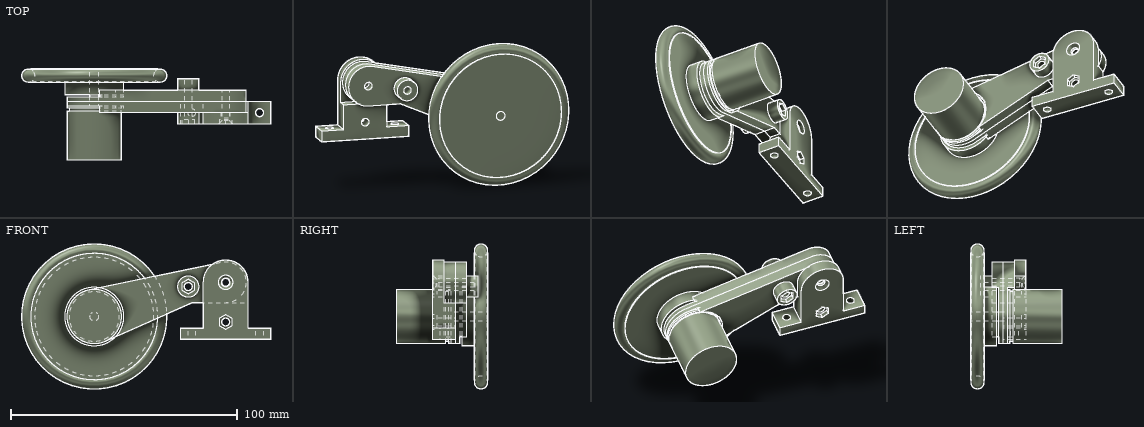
import cadquery as cq
import math


TYRE_DIA = 64.3
TYRE_SECTION_DIA = 5.8
WHEEL_DIA = 56.0
WHEEL_WIDTH = 6.2
WHEEL_BACK_Y = 14.4
HUB_DIA = 26.0
HUB_FRONT_Y = 2.9

MOTOR_DIA = 24.0
MOTOR_LENGTH = 24.0
MOTOR_FLANGE = 1.0
GROOVE_DIA = 22.0
GROOVE_WIDTH = 1.3
SHAFT_DIA = 4.0

ARM_HALF_THICKNESS = 5.0
ARM_WEB = 2.0
PIVOT_X = 58.1
PIVOT_Z = 15.1
ARM_END_RADIUS = 9.0
HEEL_X = 43.3
SPACER_X = 41.6
SPACER_Z = 13.2
SPACER_DIA = 9.4
SPACER_LENGTH = 5.1

TAB_RADIUS = 9.9
TAB_THICKNESS = 5.1
BASE_LENGTH = 40.0
BASE_HEIGHT = 5.0
BASE_DROP = 25.2
LOCK_HOLE_DROP = 17.5
BASE_HOLE_SPACING = 30.0

SCREW_HOLE_DIA = 3.4
NUT_FLATS = 5.6
NUT_DEPTH = 2.0
COUNTERSINK_DIA = 6.4
PIVOT_RELIEF_DIA = 4.0
PIVOT_RELIEF_DEPTH = 2.3
COUNTERSINK_ANGLE = 90

TYRE_SECTION_RADIUS = TYRE_SECTION_DIA / 2
TYRE_RING_RADIUS = TYRE_DIA / 2 - TYRE_SECTION_RADIUS
WHEEL_MID_Y = WHEEL_BACK_Y - WHEEL_WIDTH / 2
WHEEL_FRONT_Y = WHEEL_BACK_Y - WHEEL_WIDTH
MOTOR_RADIUS = MOTOR_DIA / 2
BRACKET_FRONT_Y = -ARM_HALF_THICKNESS - TAB_THICKNESS
BASE_DEPTH = -BRACKET_FRONT_Y
BASE_BOTTOM_Z = PIVOT_Z - BASE_DROP
HEEL_Z = PIVOT_Z - ARM_END_RADIUS
SPACER_END_Y = ARM_HALF_THICKNESS + SPACER_LENGTH


def plane_at(y):
    """Sketch plane at a given Y whose normal points to +Y; local x is -X and local y is Z."""
    return cq.Plane(origin=(0, y, 0), xDir=(-1, 0, 0), normal=(0, 1, 0))


def cylinder(x, z, dia, y_start, y_end):
    """Cylinder along Y, centred on (x, z)."""
    return cq.Workplane(plane_at(y_start)).center(-x, z).circle(dia / 2).extrude(y_end - y_start)


def nut_pocket(x, z, y_face):
    """Hexagonal pocket cut into a -Y face, with two corners pointing up and down."""
    corner_dia = NUT_FLATS / math.cos(math.pi / 6)
    hexagon = cq.Workplane(plane_at(y_face)).center(-x, z).transformed(rotate=(0, 0, 90))
    return hexagon.polygon(6, corner_dia).extrude(NUT_DEPTH)


def countersink(x, z, y_face):
    """Conical countersink cut into a -Y face."""
    mouth = COUNTERSINK_DIA / 2
    depth = mouth / math.tan(math.radians(COUNTERSINK_ANGLE / 2))
    cone = cq.Solid.makeCone(mouth, 0, depth, pnt=cq.Vector(x, y_face, z), dir=cq.Vector(0, 1, 0))
    return cq.Workplane(obj=cone)


def make_tyre():
    ring = cq.Solid.makeTorus(
        TYRE_RING_RADIUS, TYRE_SECTION_RADIUS, cq.Vector(0, WHEEL_MID_Y, 0), cq.Vector(0, 1, 0)
    )
    return cq.Workplane(obj=ring)


def make_wheel(tyre):
    """Disc with a rim groove for the tyre, and a hub bored for the motor shaft."""
    disc = cylinder(0, 0, WHEEL_DIA, WHEEL_FRONT_Y, WHEEL_BACK_Y).cut(tyre)
    hub = cylinder(0, 0, HUB_DIA, HUB_FRONT_Y, WHEEL_FRONT_Y)
    bore = cylinder(0, 0, SHAFT_DIA, HUB_FRONT_Y, WHEEL_BACK_Y)
    return disc.union(hub).cut(bore)


def make_motor():
    """Grooved cylinder with a shaft that reaches through the arm to the back of the wheel."""
    flange_y = -ARM_WEB
    groove_y = flange_y - MOTOR_FLANGE
    body = cylinder(0, 0, MOTOR_DIA, flange_y - MOTOR_LENGTH, flange_y)
    groove_ring = cylinder(0, 0, MOTOR_DIA, groove_y - GROOVE_WIDTH, groove_y).cut(
        cylinder(0, 0, GROOVE_DIA, groove_y - GROOVE_WIDTH, groove_y)
    )
    shaft = cylinder(0, 0, SHAFT_DIA, flange_y, WHEEL_BACK_Y)
    return body.cut(groove_ring).union(shaft)


def arm_profile():
    """Arm outline in X and Z: two round ends, a tangent top edge and a heel under the pivot."""
    pivot_distance = math.hypot(PIVOT_X, PIVOT_Z)
    top_normal = (
        math.pi / 2
        + math.atan2(PIVOT_Z, PIVOT_X)
        - math.asin((MOTOR_RADIUS - ARM_END_RADIUS) / pivot_distance)
    )
    heel_distance = math.hypot(HEEL_X, HEEL_Z)
    bottom_normal = math.atan2(HEEL_Z, HEEL_X) - math.acos(MOTOR_RADIUS / heel_distance)

    def around(x, z, radius, angle):
        return (x + radius * math.cos(angle), z + radius * math.sin(angle))

    return (
        cq.Workplane(cq.Plane(origin=(0, 0, 0), xDir=(1, 0, 0), normal=(0, -1, 0)))
        .moveTo(*around(0, 0, MOTOR_RADIUS, top_normal))
        .lineTo(*around(PIVOT_X, PIVOT_Z, ARM_END_RADIUS, top_normal))
        .threePointArc((PIVOT_X + ARM_END_RADIUS, PIVOT_Z), (PIVOT_X, HEEL_Z))
        .lineTo(HEEL_X, HEEL_Z)
        .lineTo(*around(0, 0, MOTOR_RADIUS, bottom_normal))
        .threePointArc((-MOTOR_RADIUS, 0), around(0, 0, MOTOR_RADIUS, top_normal))
        .close()
    )


def make_arm_half(side):
    """One arm half: side is -1 for the front half and +1 for the back half."""
    plate = arm_profile().extrude(-side * ARM_HALF_THICKNESS)
    recess = cylinder(0, 0, HUB_DIA, side * ARM_WEB, side * ARM_HALF_THICKNESS)
    spacer = cylinder(SPACER_X, SPACER_Z, SPACER_DIA, side * ARM_HALF_THICKNESS, side * SPACER_END_Y)
    return (
        plate.cut(recess)
        .union(spacer)
        .cut(cylinder(0, 0, SHAFT_DIA, 0, side * ARM_WEB))
        .cut(cylinder(PIVOT_X, PIVOT_Z, SCREW_HOLE_DIA, 0, side * ARM_HALF_THICKNESS))
        .cut(cylinder(SPACER_X, SPACER_Z, SCREW_HOLE_DIA, 0, side * SPACER_END_Y))
    )


def make_front_arm():
    return make_arm_half(-1).cut(nut_pocket(SPACER_X, SPACER_Z, -SPACER_END_Y))


def make_back_arm():
    return make_arm_half(1)


def bracket_block(width, depth, height):
    """Block that stands on the bracket underside, flush with its front face and centred on the pivot."""
    block = cq.Workplane().box(width, depth, height, centered=(True, False, False))
    return block.translate((PIVOT_X, BRACKET_FRONT_Y, BASE_BOTTOM_Z))


def make_bracket():
    """Foot, round-topped tab in front of the arm, and a full-depth block under the arm."""
    tab_width = 2 * TAB_RADIUS
    lock_z = PIVOT_Z - LOCK_HOLE_DROP
    base = bracket_block(BASE_LENGTH, BASE_DEPTH, BASE_HEIGHT)
    tab = bracket_block(tab_width, TAB_THICKNESS, BASE_DROP)
    dome = cylinder(PIVOT_X, PIVOT_Z, tab_width, BRACKET_FRONT_Y, -ARM_HALF_THICKNESS)
    arm_stop = bracket_block(tab_width, BASE_DEPTH, HEEL_Z - BASE_BOTTOM_Z)
    bracket = base.union(tab).union(dome).union(arm_stop)

    for z in (PIVOT_Z, lock_z):
        bracket = bracket.cut(cylinder(PIVOT_X, z, SCREW_HOLE_DIA, BRACKET_FRONT_Y, 0))
    relief_y = -ARM_HALF_THICKNESS - PIVOT_RELIEF_DEPTH
    relief = cylinder(PIVOT_X, PIVOT_Z, PIVOT_RELIEF_DIA, relief_y, -ARM_HALF_THICKNESS)
    bracket = bracket.cut(relief)
    bracket = bracket.cut(countersink(PIVOT_X, PIVOT_Z, BRACKET_FRONT_Y))
    bracket = bracket.cut(nut_pocket(PIVOT_X, lock_z, BRACKET_FRONT_Y))

    base_holes = (
        cq.Workplane(origin=(PIVOT_X, BRACKET_FRONT_Y / 2, BASE_BOTTOM_Z))
        .rarray(BASE_HOLE_SPACING, 1.1, 2, 1)
        .circle(SCREW_HOLE_DIA / 2)
        .extrude(BASE_HEIGHT)
    )
    return bracket.cut(base_holes)


tyre = make_tyre()
wheel = make_wheel(tyre)
motor = make_motor()
front_arm = make_front_arm()
back_arm = make_back_arm()
bracket = make_bracket()

result = cq.Compound.makeCompound(
    [tyre.val(), wheel.val(), motor.val(), front_arm.val(), back_arm.val(), bracket.val()]
)